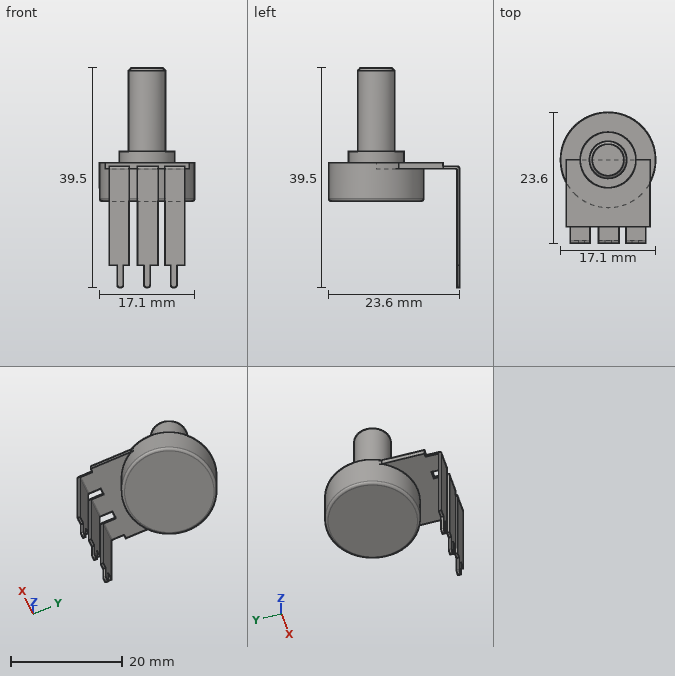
import cadquery as cq

total_height = 39.45

disk_diameter = 17.1
disk_height = 6.95
disk_edge_radius = 0.5
bushing_diameter = 10.0
bushing_height = 2.0

shaft_diameter = 6.7
shaft_length = 15.0
shaft_chamfer = 0.5

plate_width = 15.1
plate_length = 12.03
plate_thickness = 1.15

sheet_thickness = 0.5
terminal_reach = 15.0
bend_outer_radius = 0.5
bend_inner_radius = 0.1
side_tab_width = 3.6
middle_tab_width = 3.7
side_tab_offset = 5.0
middle_tab_offset = 0.1
pin_width = 1.15
pin_length = 4.0
pin_offset = 4.8
pin_tip_radius = 0.47

bushing_top = disk_height + bushing_height
plate_bottom = disk_height - plate_thickness
arm_top = plate_bottom + sheet_thickness
pin_bottom = bushing_top + shaft_length - total_height
tab_bottom = pin_bottom + pin_length

terminals = [
    (-side_tab_offset, side_tab_width, -pin_offset),
    (middle_tab_offset, middle_tab_width, 0),
    (side_tab_offset, side_tab_width, pin_offset),
]


def make_disk():
    disk = cq.Workplane("XY").circle(disk_diameter / 2).extrude(disk_height)
    return disk.faces("<Z").edges().fillet(disk_edge_radius)


def make_bushing():
    return (
        cq.Workplane("XY")
        .workplane(offset=disk_height)
        .circle(bushing_diameter / 2)
        .extrude(bushing_height)
    )


def make_plate():
    return cq.Workplane("XY").box(
        plate_width, plate_length, plate_thickness, centered=(True, False, False)
    ).translate((0, -plate_length, plate_bottom))


def make_terminal(tab_center, tab_width, pin_center):
    outer_y = -terminal_reach
    inner_y = outer_y + sheet_thickness
    strip = (
        cq.Workplane("YZ")
        .moveTo(-plate_length, arm_top)
        .lineTo(outer_y + bend_outer_radius, arm_top)
        .radiusArc((outer_y, arm_top - bend_outer_radius), -bend_outer_radius)
        .lineTo(outer_y, tab_bottom)
        .lineTo(inner_y, tab_bottom)
        .lineTo(inner_y, plate_bottom - bend_inner_radius)
        .radiusArc((inner_y + bend_inner_radius, plate_bottom), bend_inner_radius)
        .lineTo(-plate_length, plate_bottom)
        .close()
        .extrude(tab_width / 2, both=True)
        .translate((tab_center, 0, 0))
    )
    pin = (
        cq.Workplane("XY")
        .box(pin_width, sheet_thickness, pin_length, centered=(True, False, False))
        .faces("<Z")
        .edges("|Y")
        .fillet(pin_tip_radius)
        .translate((pin_center, outer_y, pin_bottom))
    )
    return strip.union(pin)


def make_shaft():
    return (
        cq.Workplane("XY")
        .workplane(offset=bushing_top)
        .circle(shaft_diameter / 2)
        .extrude(shaft_length)
        .faces(">Z")
        .edges()
        .chamfer(shaft_chamfer)
    )


def make_housing():
    housing = make_disk().union(make_bushing()).union(make_shaft())
    return housing.cut(make_plate())


def make_terminal_plate():
    terminal_plate = make_plate()
    for tab_center, tab_width, pin_center in terminals:
        terminal_plate = terminal_plate.union(make_terminal(tab_center, tab_width, pin_center))
    return terminal_plate


housing = make_housing()
terminal_plate = make_terminal_plate()

result = cq.Compound.makeCompound([housing.solids().val(), terminal_plate.solids().val()])